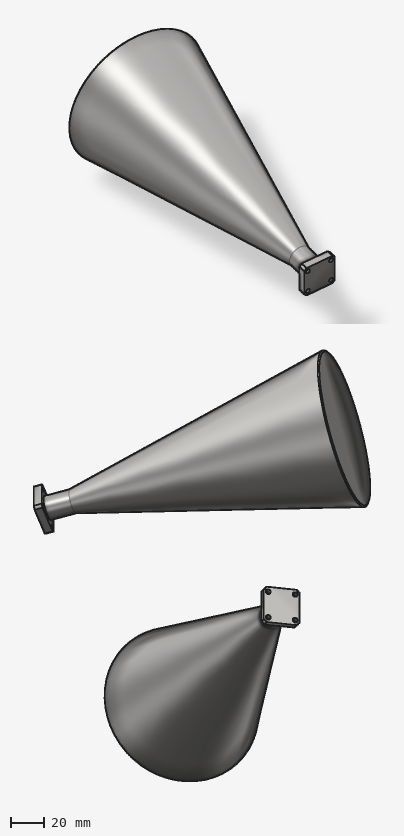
import cadquery as cq

total_length = 193.0
mouth_radius = 97.3 / 2
rim_width = 1.0
rim_setback = 0.8

neck_radius = 15.0 / 2
neck_start = 172.2

flange_thickness = 5.0
flange_side = 22.4
flange_chamfer = 1.7
hole_diameter = 2.9
hole_pitch_y = 17.0
hole_pitch_z = 16.2

flange_start = total_length - flange_thickness


def make_horn():
    """Solid cone with a bevelled mouth rim, running into the neck."""
    profile = (
        cq.Workplane("XZ")
        .moveTo(0, 0)
        .lineTo(0, mouth_radius - rim_width)
        .lineTo(rim_setback, mouth_radius)
        .lineTo(neck_start, neck_radius)
        .lineTo(flange_start, neck_radius)
        .lineTo(flange_start, 0)
        .close()
    )
    return profile.revolve(360, (0, 0, 0), (1, 0, 0))


def make_flange():
    """Square plate with chamfered corners and four through holes."""
    plate = (
        cq.Workplane("YZ", origin=(flange_start, 0, 0))
        .rect(flange_side, flange_side)
        .extrude(flange_thickness)
        .edges("|X")
        .chamfer(flange_chamfer)
    )
    holes = (
        cq.Workplane("YZ", origin=(flange_start, 0, 0))
        .rect(hole_pitch_y, hole_pitch_z, forConstruction=True)
        .vertices()
        .circle(hole_diameter / 2)
        .extrude(flange_thickness)
    )
    return plate.cut(holes)


result = make_horn().union(make_flange())